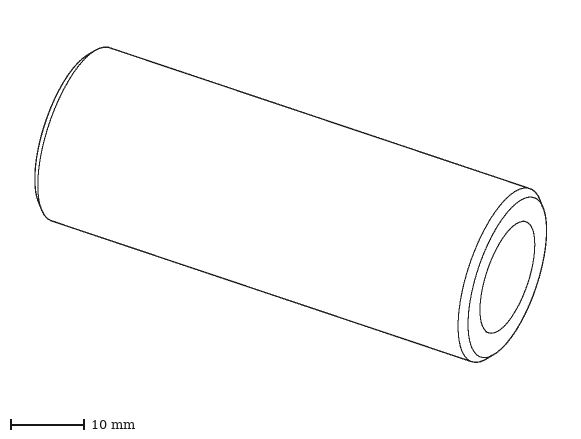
import cadquery as cq

length = 67.0
outer_diameter = 25.0
bore_diameter = 16.0
edge_chamfer = 1.0

end_plane = cq.Workplane("YZ", origin=(-length / 2, 0, 0))

bar = (
    end_plane.circle(outer_diameter / 2)
    .extrude(length)
    .edges("%CIRCLE")
    .chamfer(edge_chamfer)
)

bore = end_plane.circle(bore_diameter / 2).extrude(length)

result = bar.cut(bore)